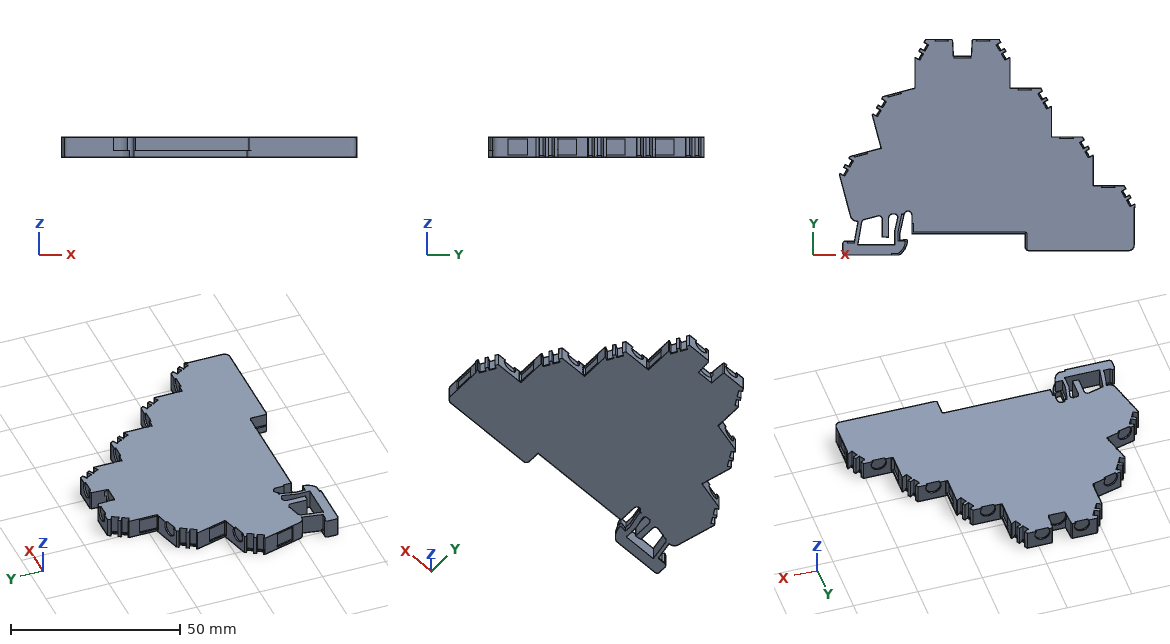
import cadquery as cq
import math

LENGTH = 87.5
HEIGHT = 63.9
THICKNESS = 6.0
OUTSIDE = 4.4

TIER_RUN = 12.3
TIER_DROP = 14.4
RIGHT_TIERS = 4
TOP_HALF_WIDTH = 14.1
CENTER_X = LENGTH - (RIGHT_TIERS - 1) * TIER_RUN - TOP_HALF_WIDTH
TILT = math.radians(15)

BEVEL_ANGLE = math.radians(60)
BEVEL_RUN = 3.2
BEVEL_DROP = BEVEL_RUN * math.tan(BEVEL_ANGLE)
BEVEL_START = TOP_HALF_WIDTH - BEVEL_RUN

LEFT_BEVEL_SHIFTS = [(0, 0), (-12.5, -16.7), (-22.2, -34.3)]
TIER_2_CORNER_Y = HEIGHT - TIER_DROP
TIER_3_CORNER = (12.3, 31.7)

FOOT_BOTTOM = 1.3
FOOT_LEFT = 54.95
RAIL_FACE = 6.3
LAST_WALL_INSET = 0.3
LAST_TIP_HEIGHT = 0.8
ROOF_LEFT = (7.0, 10.4)
FINGER_LEFT, FINGER_RIGHT = 12.7, 14.6
FINGER_BOTTOM_LEFT, FINGER_BOTTOM_RIGHT = 5.4, 5.25
LATCH_ROOF = 12.2
SLOT_LEFT, SLOT_RIGHT = 19.2, 21.4
SLOT_CENTER_Y = 11.9
SLOT_RADIUS = (SLOT_RIGHT - SLOT_LEFT) / 2
LAST_CORNER_RADIUS = 1.75
FOOT_RADIUS = 1.1
FINGER_RADIUS = 1.1
ROOF_RADIUS = 1.05
LOWER_LEFT_RADIUS = 2.1

GROOVE_STARTS = (1.05, 4.1)
GROOVE_WIDTH = 2.1
GROOVE_DEPTH = 1.1
GROOVE_DEPTH_ABOVE_WEB = 1.6
WEB = 0.5

NOTCH_DEPTH = 5.0
NOTCH_TOP_HALF = 2.9
NOTCH_FLOOR_HALF = 2.6
NOTCH_CORNER = 0.35

RECESS_DEPTH = 0.5
RECESS_Z = 4.68
SCREW_RECESS_RADIUS = 2.32
NOTCH_RECESS_RADIUS = 2.8
RECESS_FROM_WALL = 8.0
RECESS_FROM_CORNER = 6.3

WINDOW_DEPTH = 0.5
WINDOW_LENGTH = 5.8
WINDOW_BELOW_TOP = 8.9
WINDOW_Z_MIN, WINDOW_Z_MAX = 0.7, 5.5

LEDGE_Z = 2.1
LEDGE_WIDTH = 0.5
LEDGE_END_Y = 9.4


def along(point, angle, distance):
    """Point reached by moving a distance in a direction."""
    return (point[0] + distance * math.cos(angle), point[1] + distance * math.sin(angle))


def meet(p, angle_p, q, angle_q):
    """Crossing point of two lines, each given by a point and a direction."""
    dx, dy = q[0] - p[0], q[1] - p[1]
    distance = (dx * math.sin(angle_q) - dy * math.cos(angle_q)) / math.sin(angle_q - angle_p)
    return along(p, angle_p, distance)


def prism(points, z_min=0.0, z_max=THICKNESS):
    return cq.Workplane("XY").workplane(offset=z_min).polyline(points).close().extrude(z_max - z_min)


def fillet_at(solid, point, radius):
    """Round the upright edge nearest to a point of the outline."""
    corner = cq.selectors.NearestToPointSelector((point[0], point[1], THICKNESS / 2))
    return solid.edges("|Z").edges(corner).fillet(radius)


left_bevels = [(CENTER_X - BEVEL_START + dx, HEIGHT + dy) for dx, dy in LEFT_BEVEL_SHIFTS]
right_bevels = [
    (CENTER_X + BEVEL_START + tier * TIER_RUN, HEIGHT - tier * TIER_DROP)
    for tier in range(RIGHT_TIERS)
]
left_bevel_direction = math.pi + BEVEL_ANGLE
wall_direction = TILT - math.pi / 2

tier_2_corner = (CENTER_X - TOP_HALF_WIDTH, TIER_2_CORNER_Y)
tier_2_top = meet(tier_2_corner, TILT, left_bevels[1], left_bevel_direction)
tier_2_tip = meet(TIER_3_CORNER, wall_direction, left_bevels[1], left_bevel_direction)
tier_3_top = meet(TIER_3_CORNER, TILT, left_bevels[2], left_bevel_direction)
tier_3_tip = meet((0, 0), math.pi / 2, left_bevels[2], left_bevel_direction)
lower_left = meet(tier_3_tip, wall_direction, ROOF_LEFT, TILT)
last_wall = LENGTH - LAST_WALL_INSET
roof_right = meet(ROOF_LEFT, TILT, (FINGER_LEFT, 0), math.pi / 2)


def make_body():
    outline = [
        lower_left,
        tier_3_tip,
        tier_3_top,
        TIER_3_CORNER,
        tier_2_tip,
        tier_2_top,
        tier_2_corner,
        (tier_2_corner[0], HEIGHT - BEVEL_DROP),
        left_bevels[0],
    ]
    for tier, (x, y) in enumerate(right_bevels):
        if tier > 0:
            outline.append((x + BEVEL_RUN - TIER_RUN, y))
        outline.append((x, y))
        outline.append((x + BEVEL_RUN, y - BEVEL_DROP))
    tip_bottom = right_bevels[-1][1] - BEVEL_DROP - LAST_TIP_HEIGHT
    outline += [
        (LENGTH, tip_bottom),
        (last_wall, tip_bottom),
        (last_wall, FOOT_BOTTOM),
        (FOOT_LEFT, FOOT_BOTTOM),
        (FOOT_LEFT, RAIL_FACE),
        (SLOT_RIGHT, RAIL_FACE),
        (SLOT_RIGHT, SLOT_CENTER_Y),
        (SLOT_LEFT, SLOT_CENTER_Y),
        (SLOT_LEFT, LATCH_ROOF),
        (FINGER_RIGHT, LATCH_ROOF),
        (FINGER_RIGHT, FINGER_BOTTOM_RIGHT),
        (FINGER_LEFT, FINGER_BOTTOM_LEFT),
        roof_right,
    ]
    body = prism(outline)
    body = fillet_at(body, (last_wall, FOOT_BOTTOM), LAST_CORNER_RADIUS)
    body = fillet_at(body, (FOOT_LEFT, FOOT_BOTTOM), FOOT_RADIUS)
    body = fillet_at(body, (FINGER_RIGHT, LATCH_ROOF), FINGER_RADIUS)
    body = fillet_at(body, roof_right, ROOF_RADIUS)
    body = fillet_at(body, lower_left, LOWER_LEFT_RADIUS)
    slot_center = (SLOT_LEFT + SLOT_RADIUS, SLOT_CENTER_Y)
    slot_end = cq.Workplane("XY").center(*slot_center).circle(SLOT_RADIUS)
    return body.cut(slot_end.extrude(THICKNESS))


def notch_cutter():
    """Tapered notch in the middle of the top edge, with broken upper corners."""
    floor = HEIGHT - NOTCH_DEPTH
    half = [
        (NOTCH_FLOOR_HALF, floor),
        (NOTCH_TOP_HALF, HEIGHT - NOTCH_CORNER),
        (NOTCH_TOP_HALF + NOTCH_CORNER, HEIGHT),
        (NOTCH_TOP_HALF + NOTCH_CORNER, HEIGHT + OUTSIDE),
    ]
    right = [(CENTER_X + x, y) for x, y in half]
    left = [(CENTER_X - x, y) for x, y in reversed(half)]
    return prism(right + left)


def groove_cutter(bevel, side, start, depth, z_min):
    """Square groove across a bevel; side is +1 on the right and -1 on the left."""
    down = (side * math.cos(BEVEL_ANGLE), -math.sin(BEVEL_ANGLE))
    out = (side * math.sin(BEVEL_ANGLE), math.cos(BEVEL_ANGLE))
    corners = [
        (start, -depth),
        (start + GROOVE_WIDTH, -depth),
        (start + GROOVE_WIDTH, depth),
        (start, depth),
    ]
    points = [
        (bevel[0] + s * down[0] + d * out[0], bevel[1] + s * down[1] + d * out[1])
        for s, d in corners
    ]
    return prism(points, z_min)


def cut_combs(body):
    combs = [(bevel, -1) for bevel in left_bevels] + [(bevel, 1) for bevel in right_bevels]
    for bevel, side in combs:
        for start in GROOVE_STARTS:
            body = body.cut(groove_cutter(bevel, side, start, GROOVE_DEPTH, 0))
            body = body.cut(groove_cutter(bevel, side, start, GROOVE_DEPTH_ABOVE_WEB, WEB))
    return body


def round_recess(point, tilt, radius):
    """Shallow round recess square to a top edge; it breaks out through the upper face."""
    inward = cq.Vector(math.sin(tilt), -math.cos(tilt), 0)
    start = cq.Vector(point[0], point[1], RECESS_Z) - inward * RECESS_DEPTH
    return cq.Workplane(obj=cq.Solid.makeCylinder(radius, 2 * RECESS_DEPTH, start, inward))


def cut_recesses(body):
    spots = [(CENTER_X - TOP_HALF_WIDTH + RECESS_FROM_WALL, HEIGHT, 0)]
    for x, y in right_bevels:
        spots.append((x + BEVEL_RUN - RECESS_FROM_WALL, y, 0))
    for corner in (tier_2_corner, TIER_3_CORNER):
        spots.append((*along(corner, TILT + math.pi, RECESS_FROM_CORNER), TILT))
    for x, y, tilt in spots:
        body = body.cut(round_recess((x, y), tilt, SCREW_RECESS_RADIUS))
    return body.cut(round_recess((CENTER_X, HEIGHT - NOTCH_DEPTH), 0, NOTCH_RECESS_RADIUS))


def window_cutter(start, direction):
    """Flat square recess running along a wall from its start point."""
    end = along(start, direction, WINDOW_LENGTH)
    across = direction + math.pi / 2
    points = [
        along(start, across, WINDOW_DEPTH),
        along(end, across, WINDOW_DEPTH),
        along(end, across, -WINDOW_DEPTH),
        along(start, across, -WINDOW_DEPTH),
    ]
    return prism(points, WINDOW_Z_MIN, WINDOW_Z_MAX)


def cut_windows(body):
    down = -math.pi / 2
    wall_starts = [((tier_2_corner[0], HEIGHT - WINDOW_BELOW_TOP), down)]
    for x, y in right_bevels[:-1]:
        wall_starts.append(((x + BEVEL_RUN, y - WINDOW_BELOW_TOP), down))
    wall_starts.append(((last_wall, right_bevels[-1][1] - WINDOW_BELOW_TOP), down))
    for corner, tip in ((tier_2_corner, tier_2_tip), (TIER_3_CORNER, tier_3_tip)):
        top_of_wall = meet(corner, TILT, tip, wall_direction)
        wall_starts.append((along(top_of_wall, wall_direction, WINDOW_BELOW_TOP), wall_direction))
    for start, direction in wall_starts:
        body = body.cut(window_cutter(start, direction))
    return body


def cut_rail_ledge(body):
    """Set the rail faces back above the ledge, keeping their corners concentric."""
    left_face = SLOT_RIGHT + LEDGE_WIDTH
    long_face = RAIL_FACE + LEDGE_WIDTH
    right_face = FOOT_LEFT + LEDGE_WIDTH
    radius = FOOT_RADIUS - LEDGE_WIDTH
    bulge = radius * (1 - math.sqrt(0.5))
    cutter = (
        cq.Workplane("XY")
        .workplane(offset=LEDGE_Z)
        .moveTo(SLOT_RIGHT, LEDGE_END_Y)
        .lineTo(left_face, LEDGE_END_Y)
        .lineTo(left_face, long_face)
        .lineTo(right_face, long_face)
        .lineTo(right_face, FOOT_BOTTOM + radius)
        .threePointArc(
            (right_face + bulge, FOOT_BOTTOM + bulge),
            (right_face + radius, FOOT_BOTTOM),
        )
        .lineTo(SLOT_RIGHT, FOOT_BOTTOM)
        .close()
        .extrude(THICKNESS)
    )
    return body.cut(fillet_at(cutter, (right_face, long_face), LEDGE_WIDTH))


LATCH_LEFT = 1.0
BAR_TOP = 3.15
HEEL_TOP = 4.2
HEEL_RADIUS = 0.9
HEEL_LEDGE_LEFT = 1.9
HEEL_LEDGE_DEPTH = 0.5
LEG_ROOT_Y = 2.6
LEG_END_Y = 12.7
LEFT_LEG_OUTER = [(4.4, LEG_ROOT_Y), (4.5, HEEL_TOP), (5.5, 10.0), (5.7, 10.85)]
LEFT_LEG_INNER = [(5.5, LEG_ROOT_Y), (5.5, BAR_TOP), (6.65, 9.8), (7.0, 10.85)]
RIGHT_LEG_INNER = [(16.4, LEG_ROOT_Y), (16.4, 7.2), (17.6, LEG_END_Y)]
RIGHT_LEG_OUTER = [(17.9, LEG_ROOT_Y), (17.9, 6.6), (SLOT_LEFT, SLOT_CENTER_Y)]
LEG_ROOT_RADIUS = 0.9
HOOK_BOTTOM_X = 17.1
HOOK_TIP = (20.2, 4.5)
HOOK_CREST = (19.7, 4.7)
HOOK_ROOT = (RIGHT_LEG_OUTER[0][0], 4.4)
HOOK_LEDGE_LEFT = 15.4
HOOK_LEDGE_TOP = 12.25


def make_latch():
    """Bar with a hooked end and two sloping legs that reach up into the body."""
    bar = (
        cq.Workplane("XY")
        .moveTo(LATCH_LEFT, 0)
        .lineTo(HOOK_BOTTOM_X, 0)
        .threePointArc((17.85, 0.2), (18.5, 0.6))
        .threePointArc((19.6, 2.2), HOOK_TIP)
        .lineTo(*HOOK_CREST)
        .lineTo(*HOOK_ROOT)
        .lineTo(RIGHT_LEG_INNER[0][0], BAR_TOP)
        .lineTo(LEFT_LEG_INNER[0][0], BAR_TOP)
        .lineTo(*LEFT_LEG_OUTER[1])
        .lineTo(LATCH_LEFT, HEEL_TOP)
        .close()
        .extrude(THICKNESS)
    )
    bar = fillet_at(bar, (LATCH_LEFT, 0), HEEL_RADIUS)
    bar = fillet_at(bar, (LATCH_LEFT, HEEL_TOP), HEEL_RADIUS)
    left_leg = prism(LEFT_LEG_OUTER + LEFT_LEG_INNER[::-1])
    right_leg = prism(RIGHT_LEG_INNER + RIGHT_LEG_OUTER[::-1])
    return bar.union(left_leg).union(right_leg)


def cut_hook_ledge(latch):
    """Set the right leg and the hook back above the ledge, parallel to their edges."""
    clear_x = (HOOK_TIP[0] + SLOT_RIGHT) / 2
    cutter = (
        cq.Workplane("XY")
        .workplane(offset=LEDGE_Z)
        .moveTo(18.5, HOOK_LEDGE_TOP)
        .lineTo(17.4, 7.2)
        .lineTo(17.4, HEEL_TOP)
        .lineTo(19.5, HEEL_TOP)
        .threePointArc((19.0, 2.2), (17.85, 0.9))
        .threePointArc((17.5, 0.6), (HOOK_BOTTOM_X, LEDGE_WIDTH))
        .lineTo(HOOK_LEDGE_LEFT, LEDGE_WIDTH)
        .lineTo(HOOK_LEDGE_LEFT, -OUTSIDE)
        .lineTo(clear_x, -OUTSIDE)
        .lineTo(clear_x, HOOK_LEDGE_TOP)
        .close()
        .extrude(THICKNESS)
    )
    return latch.cut(cutter)


def cut_heel_ledge(latch):
    """Lower the heel beside the left leg, leaving the thin web."""
    floor = HEEL_TOP - HEEL_LEDGE_DEPTH
    points = [
        (HEEL_LEDGE_LEFT, HEEL_TOP),
        (HEEL_LEDGE_LEFT + HEEL_LEDGE_DEPTH, floor),
        (LEFT_LEG_OUTER[1][0], floor),
        LEFT_LEG_OUTER[1],
    ]
    return latch.cut(prism(points, WEB))


body = make_body().cut(notch_cutter())
body = cut_combs(body)
body = cut_recesses(body)
body = cut_windows(body)
body = cut_rail_ledge(body)
latch = cut_heel_ledge(cut_hook_ledge(make_latch()))
part = body.union(latch)

part = fillet_at(part, (RIGHT_LEG_INNER[-1][0], LATCH_ROOF), LEG_ROOT_RADIUS)
part = fillet_at(part, ROOF_LEFT, LEG_ROOT_RADIUS)
result = part